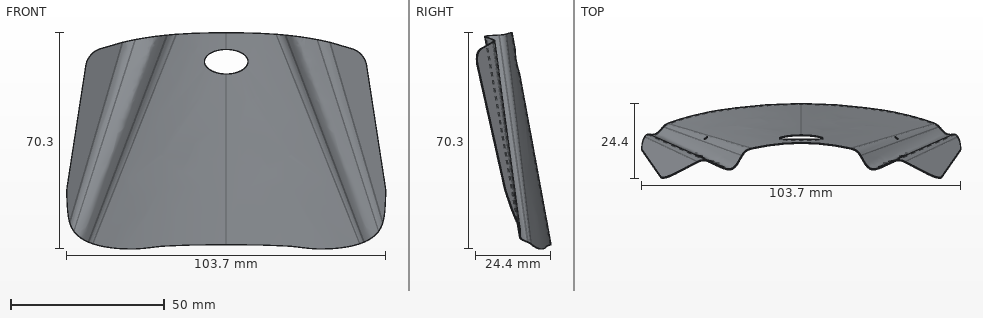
import cadquery as cq
import math


SHEET_THICKNESS = 0.35

LOWER_SECTION = {
    "z": -2.0,
    "centre_y": 24.8,
    "fold_start": (44.8, 18.15),
    "fold_setback": 0.85,
    "ridge": (49.0, 15.0),
    "valley": (53.0, 15.4),
    "valley_setback": 1.0,
    "wing_span": 8.0,
}
UPPER_SECTION = {
    "z": 72.0,
    "centre_y": 11.2,
    "fold_start": (15.3, 9.4),
    "fold_setback": 2.0,
    "ridge": (21.3, 1.0),
    "valley": (30.3, 5.85),
    "valley_setback": 2.2,
    "wing_span": 22.0,
}
ARC_FULLNESS = 0.66
RIDGE_FULLNESS = 0.95
WING_SLOPE = -0.61

TOP_Z = 70.34
TOP_SHOULDER = (29.0, 68.2)
TOP_CORNER_START = (40.6, 65.2)
TOP_CORNER_TANGENT = (1, -0.35)
TOP_CORNER_MID = (44.0, 63.1)
TOP_CORNER_END = (45.7, 59.3)
SIDE_END = (51.75, 20.0)
SIDE_TANGENT = (0.15, -1)
WIDEST = (51.8, 16.5)
LOWER_CORNER = (49.5, 5.75)
LOWER_CORNER_END = (43.3, 1.7)
LOWEST = (30.5, 0.0)
BOTTOM_CENTRE_Z = 1.4

HOLE_WIDTH = 14.1
HOLE_HEIGHT = 7.6
HOLE_TILT = 10.0
HOLE_CENTRE_Z = 60.9

TRIM_DEPTH = 100.0
HOLE_CUT_DEPTH = 10.0


def unit(start, end):
    """Unit direction from start to end."""
    length = math.dist(start, end)
    return ((end[0] - start[0]) / length, (end[1] - start[1]) / length)


def along(point, direction, distance):
    """Point moved by a distance along a direction."""
    return (point[0] + distance * direction[0], point[1] + distance * direction[1])


def left_of(direction):
    """Direction turned a quarter turn anticlockwise, towards the back face."""
    return (-direction[1], direction[0])


def mitre(corner, before, after, offset):
    """Corner of the outline offset to the left by the given distance."""
    normal_before = left_of(before)
    normal_after = left_of(after)
    bisector = (normal_before[0] + normal_after[0], normal_before[1] + normal_after[1])
    alignment = normal_before[0] * normal_after[0] + normal_before[1] * normal_after[1]
    return along(corner, bisector, offset / (1 + alignment))


def section_corners(section):
    """Corners and joints (curve ends) of the front face, from the centre outwards."""
    centre = (0, section["centre_y"])
    fold_start = section["fold_start"]
    ridge = section["ridge"]
    valley = section["valley"]
    drop = section["centre_y"] - fold_start[1]
    centre_setback = (fold_start[0] ** 2 + drop**2) / (2 * fold_start[0])
    centre_corner = (centre_setback, section["centre_y"])
    fold = along(fold_start, unit(centre_corner, fold_start), section["fold_setback"])
    fold_end = along(fold, unit(fold, ridge), section["fold_setback"])
    valley_start = along(valley, unit(valley, ridge), section["valley_setback"])
    valley_end = along(valley, unit((0, 0), (1, WING_SLOPE)), section["valley_setback"])
    corners = [centre_corner, fold, ridge, valley]
    joints = [centre, fold_start, fold_end, valley_start, valley_end]
    return corners, joints


def face_curves(section, offset):
    """Bezier control points of each curve and the wing end, offset to the back."""
    corners, joints = section_corners(section)
    fullnesses = [ARC_FULLNESS, ARC_FULLNESS, RIDGE_FULLNESS, ARC_FULLNESS]
    curves = []
    for corner, start, end, fullness in zip(corners, joints, joints[1:], fullnesses):
        before = unit(start, corner)
        after = unit(corner, end)
        start = along(start, left_of(before), offset)
        end = along(end, left_of(after), offset)
        corner = mitre(corner, before, after, offset)
        start_handle = along(start, before, fullness * math.dist(start, corner))
        end_handle = along(end, after, -fullness * math.dist(corner, end))
        curves.append([start, start_handle, end_handle, end])
    wing_direction = unit((0, 0), (1, WING_SLOPE))
    wing_end = along(curves[-1][-1], wing_direction, section["wing_span"])
    return curves, wing_end


def section_wire(section):
    """Closed horizontal section of the right half of the sheet."""
    front_curves, front_end = face_curves(section, 0)
    back_curves, back_end = face_curves(section, SHEET_THICKNESS)
    front_start = front_curves[0][0]
    back_valley_end = back_curves[-1][-1]
    profile = cq.Workplane("XY", origin=(0, 0, section["z"])).moveTo(*front_start)
    for curve in front_curves:
        profile = profile.bezier(curve[1:], includeCurrent=True)
    profile = profile.lineTo(*front_end).lineTo(*back_end).lineTo(*back_valley_end)
    for curve in reversed(back_curves):
        profile = profile.bezier(curve[-2::-1], includeCurrent=True)
    return profile.close().wire().val()


def half_sheet():
    """Right half of the untrimmed sheet."""
    wires = [section_wire(LOWER_SECTION), section_wire(UPPER_SECTION)]
    return cq.Workplane(cq.Solid.makeLoft(wires, True))


def half_outline():
    """Right half of the trim outline, extruded through the sheet along Y."""
    return (
        cq.Workplane("XZ")
        .moveTo(0, BOTTOM_CENTRE_Z)
        .lineTo(0, TOP_Z)
        .spline([TOP_SHOULDER, TOP_CORNER_START], tangents=[(1, 0), TOP_CORNER_TANGENT], includeCurrent=True)
        .threePointArc(TOP_CORNER_MID, TOP_CORNER_END)
        .lineTo(*SIDE_END)
        .spline(
            [WIDEST, LOWER_CORNER, LOWER_CORNER_END, LOWEST, (0, BOTTOM_CENTRE_Z)],
            tangents=[SIDE_TANGENT, (-1, 0)],
            includeCurrent=True,
        )
        .close()
        .extrude(TRIM_DEPTH, both=True)
    )


def hole_cutter():
    """Elliptical hole near the top edge."""
    lower_z = LOWER_SECTION["z"]
    upper_z = UPPER_SECTION["z"]
    height_fraction = (HOLE_CENTRE_Z - lower_z) / (upper_z - lower_z)
    lean = UPPER_SECTION["centre_y"] - LOWER_SECTION["centre_y"]
    centre_y = LOWER_SECTION["centre_y"] + height_fraction * lean
    hole_centre = (0, centre_y, HOLE_CENTRE_Z)
    pivot_end = (1, centre_y, HOLE_CENTRE_Z)
    return (
        cq.Workplane("XZ", origin=hole_centre)
        .ellipse(HOLE_WIDTH / 2, HOLE_HEIGHT / 2)
        .extrude(HOLE_CUT_DEPTH, both=True)
        .rotate(hole_centre, pivot_end, -HOLE_TILT)
    )


right_half = half_sheet().intersect(half_outline()).cut(hole_cutter())
result = right_half.union(right_half.mirror("YZ"))